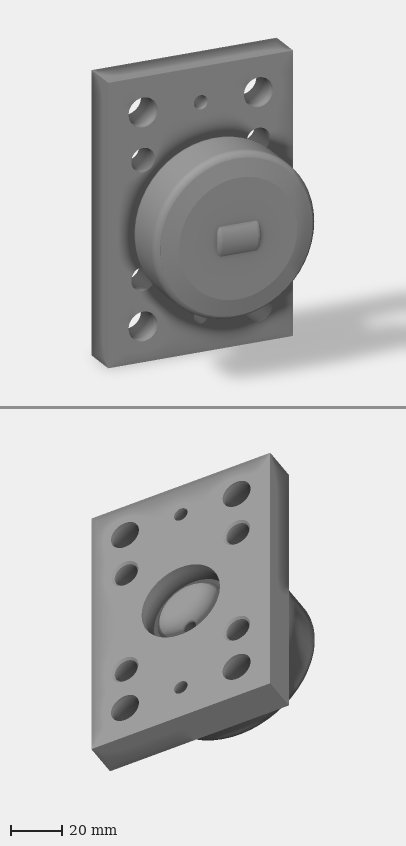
import cadquery as cq
import math

plate_thickness = 15.0
plate_width = 80.0
plate_height = 120.0

hole_offset_y = 25.0
bolt_offset_z = 45.0
bolt_diameter = 12.5
pin_diameter = 6.0
thread_offset_z = 25.0
thread_diameter = 10.2
thread_rim_diameter = 12.0

neck_radius = 24.0
collar_radius = 25.5
collar_start = 24.0
roller_start = 25.5
roller_radius = 35.0
roller_fillet = 3.7
roller_end = 47.5
cover_rim_radius = 33.0
cover_end = 49.2

overall_depth = 51.0
side_roller_radius = 12.0
side_roller_length = 19.0
side_roller_fillet = 2.0

bore_radius = 17.5
bore_depth = 10.0
axle_radius = 15.1
axle_chamfer = 1.7
axle_end_depth = 7.0

grease_offset_z = -7.9
grease_diameter = 5.0
grease_rim_diameter = 6.0
grease_depth = 9.6
grease_tip_angle = 118


def cylinder(radius, start, end):
    """Solid cylinder about the X axis between two X positions."""
    return cq.Workplane("YZ").workplane(offset=start).circle(radius).extrude(end - start)


def countersunk_hole(y, z, start, depth, diameter, rim_diameter):
    """Cutter for a hole along +X with a 45 degree countersink at its mouth."""
    radius = diameter / 2
    rim_radius = rim_diameter / 2
    sink_depth = rim_radius - radius
    profile = [
        (start, 0),
        (start, rim_radius),
        (start + sink_depth, radius),
        (start + depth, radius),
        (start + depth, 0),
    ]
    cutter = cq.Workplane("XY").polyline(profile).close().revolve(360, (0, 0), (1, 0))
    return cutter.translate((0, y, z))


def make_plate():
    plate = cq.Workplane("YZ").rect(plate_width, plate_height).extrude(plate_thickness)
    bolt_grid = (2 * hole_offset_y, 2 * bolt_offset_z, 2, 2)
    bolts = cq.Workplane("YZ").rarray(*bolt_grid).circle(bolt_diameter / 2).extrude(plate_thickness)
    pin_grid = (1.2, 2 * bolt_offset_z, 1, 2)
    pins = cq.Workplane("YZ").rarray(*pin_grid).circle(pin_diameter / 2).extrude(plate_thickness)
    plate = plate.cut(bolts).cut(pins)
    for y in (-hole_offset_y, hole_offset_y):
        for z in (-thread_offset_z, thread_offset_z):
            plate = plate.cut(
                countersunk_hole(y, z, 0, plate_thickness, thread_diameter, thread_rim_diameter)
            )
    return plate


def make_roller():
    """Main roller with rounded edges and a shallow conical cover on its outer face."""
    roller = cylinder(roller_radius, roller_start, roller_end).edges().fillet(roller_fillet)
    cover_profile = [
        (roller_start, 0),
        (roller_start, collar_radius),
        (roller_end, cover_rim_radius),
        (cover_end, collar_radius),
        (cover_end, 0),
    ]
    cover = cq.Workplane("XY").polyline(cover_profile).close().revolve(360, (0, 0), (1, 0))
    return roller.union(cover)


def make_side_roller():
    side_roller = (
        cq.Workplane("XZ")
        .center(overall_depth - side_roller_radius, 0)
        .circle(side_roller_radius)
        .extrude(side_roller_length / 2, both=True)
    )
    return side_roller.edges().fillet(side_roller_fillet)


def make_axle_end():
    axle_end = cylinder(axle_radius, axle_end_depth, bore_depth)
    return axle_end.faces("<X").chamfer(axle_chamfer)


def make_grease_hole():
    """Cutter for the blind grease hole, ending in a conical drill tip."""
    radius = grease_diameter / 2
    tip_length = radius / math.tan(math.radians(grease_tip_angle / 2))
    hole_end = axle_end_depth + grease_depth
    hole = countersunk_hole(
        0, grease_offset_z, axle_end_depth, grease_depth, grease_diameter, grease_rim_diameter
    )
    tip_profile = [(hole_end, 0), (hole_end, radius), (hole_end + tip_length, 0)]
    tip = cq.Workplane("XY").polyline(tip_profile).close().revolve(360, (0, 0), (1, 0))
    return hole.union(tip.translate((0, 0, grease_offset_z)))


result = make_plate()
result = result.union(cylinder(neck_radius, plate_thickness, collar_start))
result = result.union(cylinder(collar_radius, collar_start, roller_start))
result = result.union(make_roller()).union(make_side_roller())
result = result.cut(cylinder(bore_radius, 0, bore_depth))
result = result.union(make_axle_end())
result = result.cut(make_grease_hole())